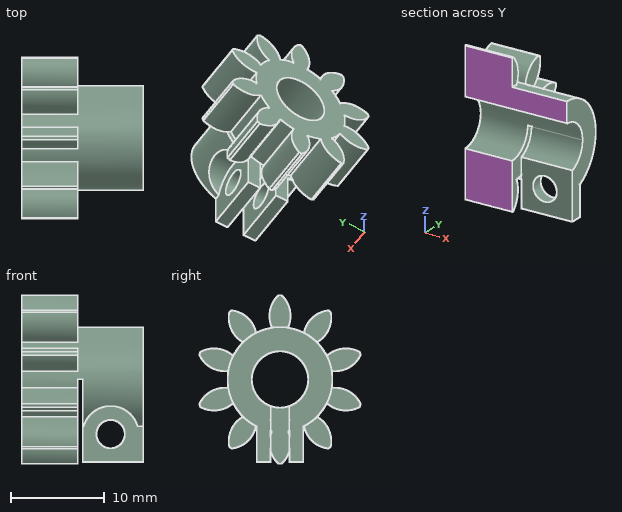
import cadquery as cq
import math

gear_width = 6.0
tooth_count = 10
tip_radius = 9.0
tip_half_width = 0.18
tooth_half_width = 1.14
widest_radius = 6.85
root_half_width = 0.87

hub_radius = 5.6
hub_length = 7.0
bore_diameter = 6.0
total_length = gear_width + hub_length

relief_width = 0.5
lug_start = gear_width + relief_width
lug_width = 5.0
split_width = 2.0

screw_hole_diameter = 3.0
screw_seat_diameter = 6.0
screw_x = lug_start + screw_seat_diameter / 2
screw_z = -5.83
lug_bottom = screw_z - screw_seat_diameter / 2


def x_cylinder(radius, length):
    """Solid cylinder along the X axis, starting at X = 0."""
    return cq.Workplane("YZ").circle(radius).extrude(length)


def y_cylinder(diameter, y_start, length):
    """Solid cylinder along Y on the clamp screw axis."""
    axis_start = cq.Vector(screw_x, y_start, screw_z)
    return cq.Workplane(cq.Solid.makeCylinder(diameter / 2, length, axis_start, cq.Vector(0, 1, 0)))


def block(x_range, y_range, z_range):
    """Axis-aligned box given by its limits along X, Y and Z."""
    sizes = [high - low for low, high in (x_range, y_range, z_range)]
    corner = (x_range[0], y_range[0], z_range[0])
    return cq.Workplane("XY").box(*sizes, centered=False).translate(corner)


def make_tooth():
    """Tooth pointing along +Z, with bulging flanks and a tip on the tip circle."""
    tip_corner_z = math.sqrt(tip_radius**2 - tip_half_width**2)
    root_z = math.sqrt(hub_radius**2 - root_half_width**2)
    base_z = (bore_diameter / 2 + hub_radius) / 2
    return (
        cq.Workplane("YZ")
        .moveTo(-root_half_width, base_z)
        .lineTo(-root_half_width, root_z)
        .threePointArc((-tooth_half_width, widest_radius), (-tip_half_width, tip_corner_z))
        .threePointArc((0, tip_radius), (tip_half_width, tip_corner_z))
        .threePointArc((tooth_half_width, widest_radius), (root_half_width, root_z))
        .lineTo(root_half_width, base_z)
        .close()
        .extrude(gear_width)
    )


def add_teeth(body):
    tooth = make_tooth()
    for index in range(tooth_count):
        angle = index * 360 / tooth_count
        body = body.union(tooth.rotate((0, 0, 0), (1, 0, 0), angle))
    return body


def add_lug(body):
    half_width = lug_width / 2
    lug = block((lug_start, total_length), (-half_width, half_width), (lug_bottom, 0))
    return body.union(lug)


def cut_clamp_gaps(body):
    """Split the lug into two ears and free the lower half of the hub from the gear."""
    half_split = split_width / 2
    split = block((gear_width, total_length), (-half_split, half_split), (lug_bottom, 0))
    relief = block((gear_width, lug_start), (-hub_radius, hub_radius), (lug_bottom, 0))
    return body.cut(split).cut(relief)


def cut_screw_seats(body):
    """Drill across both ears and clear the hub for the screw head and nut."""
    body = body.cut(y_cylinder(screw_hole_diameter, -hub_radius, 2 * hub_radius))
    seat_depth = hub_radius - lug_width / 2
    for seat_start in (-hub_radius, lug_width / 2):
        body = body.cut(y_cylinder(screw_seat_diameter, seat_start, seat_depth))
    return body


result = x_cylinder(hub_radius, total_length)
result = add_teeth(result)
result = add_lug(result)
result = result.cut(x_cylinder(bore_diameter / 2, total_length))
result = cut_clamp_gaps(result)
result = cut_screw_seats(result)